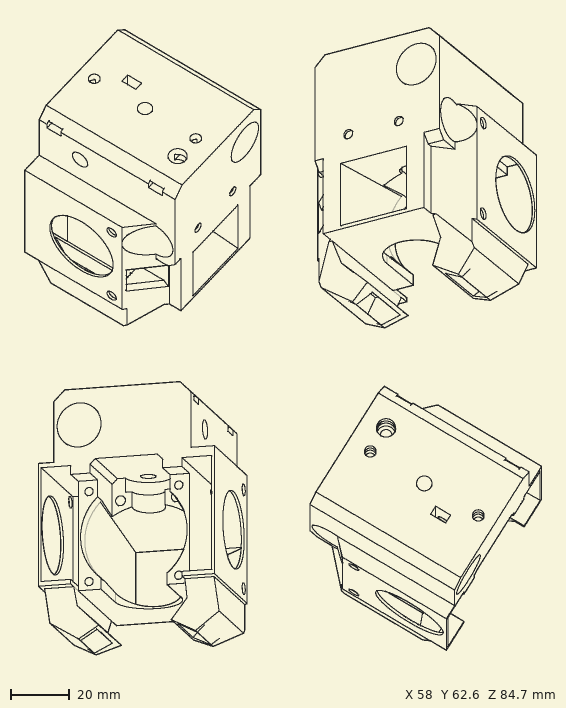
import cadquery as cq
import math

LENGTH = 58.0
HEIGHT = 84.7
BLOCK_FRONT_Y = -23.05
BLOCK_BACK_Y = 25.8
BLOCK_BOTTOM_Z = 41.8
BLOCK_TOP_CHAMFER = 4.0
BLOCK_BOTTOM_CHAMFER = 3.05

ROD_BORE_DIAMETER = 15.6
LONG_ROD_Y = 16.8
LONG_ROD_Z = 71.9
CROSS_ROD_X = 49.3
CROSS_ROD_Z = 52.1

HOUSING_HALF_WIDTH = 19.7
HOUSING_START_X = 9.6
HOUSING_BOTTOM_Z = 15.9
FAN_CENTRE_Z = 34.8
FAN_BORE_DIAMETER = 37.9
FAN_BORE_DEPTH = 5.3
FAN_SCREW_SPACING = 31.85
FAN_SCREW_DIAMETER = 2.9
FAN_SCREW_DEPTH = 10.0
TUNNEL_EXIT_BOTTOM_Z = 17.3
TUNNEL_EXIT_TOP_Z = 41.3

HOTEND_X = 27.95
SEAT_HALF_WIDTH = 12.9
SEAT_TOP_Z = 59.65
SEAT_CHAMFER = 1.9
COLLAR_DIAMETER = 16.3
COLLAR_BOTTOM_Z = 54.65
GROOVE_DIAMETER = 11.7
FILAMENT_HOLE_DIAMETER = 5.25
CLAMP_HOLE_DIAMETER = 3.5
CLAMP_HOLE_Y = 9.9
CLAMP_HOLE_Z = 51.8
BOTTOM_SLOT_RADIUS = 11.7

DUCT_OUTER_Y = 31.3
DUCT_WALL = 1.0
DUCT_FRONT_TOP_Z = 61.2
DUCT_BACK_TOP_Z = 59.4
DUCT_SLOPE_REACH = 72.9
CAVITY_END_X = 40.2
CAVITY_BOTTOM_Z = 17.5
CAVITY_TOP_Z = 57.8
INLET_DIAMETER = 27.0
FRONT_INLET_X = 24.2
BACK_INLET_X = 14.8
INLET_Z = 37.6
DUCT_SCREW_X = 37.1
DUCT_SCREW_HEIGHTS = (20.1, 55.0)
DUCT_SCREW_DIAMETER = 4.0
DUCT_PILOT_DIAMETER = 1.5
DUCT_PILOT_DEPTH = 4.0
WINDOW_INNER_Y = 20.0
WINDOW_BOTTOM_Z = 27.7
WINDOW_TOP_Z = 35.6
WINDOW_FLARE = 1.95

NOZZLE_OUTER_Y = 30.1
NOZZLE_OUTER_CORNER_Z = 5.4
NOZZLE_LOWEST_Y = 20.75
NOZZLE_TIP = (12.8, 3.8)
NOZZLE_INNER_CORNER = (19.5, 10.1)
NOZZLE_START_X = 3.8
NOZZLE_START_LEAN = 0.61
NOZZLE_END_X = 35.8
NOZZLE_CHANNEL_INSET = 2.45
NOZZLE_CHANNEL_END_X = 33.4

SCREW_DIAMETER = 4.0
SCREW_DEPTH = 10.0
MOUNT_SCREW_SPACING = 43.3
HEAD_DIAMETER = 6.5
HEAD_DEPTH = 10.0
CROSS_ROD_SCREW_Y = -9.9
LONG_ROD_SCREW_X = 17.45
NUT_WIDTH = 5.9
NUT_THICKNESS = 2.9
NUT_SLOT_BOTTOM_Z = 78.7
NUT_SLOT_END_Y = 1.8
ROD_NUT_START_Y = 4.8
ROD_NUT_THICKNESS = 3.3


def box(x_range, y_range, z_range):
    """Box between two limits along each axis."""
    sizes = [high - low for low, high in (x_range, y_range, z_range)]
    return cq.Workplane("XY").box(*sizes, centered=False).translate((x_range[0], y_range[0], z_range[0]))


def rod(diameter, start, direction, length):
    """Cylinder from a start point along a direction."""
    return cq.Workplane(
        cq.Solid.makeCylinder(diameter / 2, length, cq.Vector(*start), cq.Vector(*direction))
    )


def carriage_block():
    shoulder_z = HEIGHT - BLOCK_TOP_CHAMFER
    block = (
        cq.Workplane("YZ")
        .polyline([
            (BLOCK_FRONT_Y, BLOCK_BOTTOM_Z),
            (BLOCK_BACK_Y, BLOCK_BOTTOM_Z),
            (BLOCK_BACK_Y, shoulder_z),
            (BLOCK_BACK_Y - BLOCK_TOP_CHAMFER, HEIGHT),
            (BLOCK_FRONT_Y + BLOCK_TOP_CHAMFER, HEIGHT),
            (BLOCK_FRONT_Y, shoulder_z),
        ])
        .close()
        .extrude(LENGTH)
    )
    return block.faces("<Z").edges(">X").chamfer(BLOCK_BOTTOM_CHAMFER)


def hotend_housing():
    sides = (-HOUSING_HALF_WIDTH, HOUSING_HALF_WIDTH)
    return box((HOUSING_START_X, LENGTH), sides, (HOUSING_BOTTOM_Z, COLLAR_BOTTOM_Z))


def fan_clearance():
    """Room for the hotend fan, below the block and in front of the housing."""
    sides = (-HOUSING_HALF_WIDTH, HOUSING_HALF_WIDTH)
    return box((0, HOUSING_START_X), sides, (HOUSING_BOTTOM_Z, COLLAR_BOTTOM_Z))


def cooling_tunnel():
    """Round fan bore that narrows to a rectangle at the far end, with the fan screw holes."""
    funnel_start_x = HOUSING_START_X + FAN_BORE_DEPTH
    radius = FAN_BORE_DIAMETER / 2
    corner = radius / math.sqrt(2)
    exit_bottom = TUNNEL_EXIT_BOTTOM_Z - FAN_CENTRE_Z
    exit_top = TUNNEL_EXIT_TOP_Z - FAN_CENTRE_Z
    tunnel = (
        cq.Workplane("YZ", origin=(funnel_start_x, 0, FAN_CENTRE_Z))
        .moveTo(-corner, -corner)
        .threePointArc((0, -radius), (corner, -corner))
        .threePointArc((radius, 0), (corner, corner))
        .threePointArc((0, radius), (-corner, corner))
        .threePointArc((-radius, 0), (-corner, -corner))
        .close()
        .workplane(offset=LENGTH - funnel_start_x)
        .moveTo(-SEAT_HALF_WIDTH, exit_bottom)
        .lineTo(SEAT_HALF_WIDTH, exit_bottom)
        .lineTo(SEAT_HALF_WIDTH, exit_top)
        .lineTo(-SEAT_HALF_WIDTH, exit_top)
        .close()
        .loft(ruled=True)
    )
    bore_start = (HOUSING_START_X, 0, FAN_CENTRE_Z)
    tunnel = tunnel.union(rod(FAN_BORE_DIAMETER, bore_start, (1, 0, 0), FAN_BORE_DEPTH))
    screws = (
        cq.Workplane("YZ", origin=bore_start)
        .rect(FAN_SCREW_SPACING, FAN_SCREW_SPACING, forConstruction=True)
        .vertices()
        .circle(FAN_SCREW_DIAMETER / 2)
        .extrude(FAN_SCREW_DEPTH)
    )
    return tunnel.union(screws)


def hotend_seat():
    """Half-open groove mount for the hotend, with the filament hole and clamp screw holes.

    Its cuts start at the middle of the cooling tunnel, so that they open into it.
    """
    seat = box((0, HOTEND_X), (-SEAT_HALF_WIDTH, SEAT_HALF_WIDTH), (FAN_CENTRE_Z, SEAT_TOP_Z))
    seat = seat.faces(">Z").edges("|X").chamfer(SEAT_CHAMFER)
    collar_height = SEAT_TOP_Z - COLLAR_BOTTOM_Z
    seat = seat.union(rod(COLLAR_DIAMETER, (HOTEND_X, 0, COLLAR_BOTTOM_Z), (0, 0, 1), collar_height))
    groove_height = COLLAR_BOTTOM_Z - FAN_CENTRE_Z
    seat = seat.union(rod(GROOVE_DIAMETER, (HOTEND_X, 0, FAN_CENTRE_Z), (0, 0, 1), groove_height))
    seat = seat.union(rod(FILAMENT_HOLE_DIAMETER, (HOTEND_X, 0, FAN_CENTRE_Z), (0, 0, 1), HEIGHT))
    for y in (-CLAMP_HOLE_Y, CLAMP_HOLE_Y):
        seat = seat.union(rod(CLAMP_HOLE_DIAMETER, (HOTEND_X, y, CLAMP_HOLE_Z), (1, 0, 0), LENGTH))
    return seat


def bottom_slot():
    """Round-ended opening below the hotend."""
    slot = box((0, HOTEND_X), (-BOTTOM_SLOT_RADIUS, BOTTOM_SLOT_RADIUS), (0, FAN_CENTRE_Z))
    return slot.union(rod(2 * BOTTOM_SLOT_RADIUS, (HOTEND_X, 0, 0), (0, 0, 1), FAN_CENTRE_Z))


def nozzle_section(top_z, overshoot):
    """Nozzle section on the +Y side; overshoot lengthens it past its outlet face."""
    tip_y, tip_z = NOZZLE_TIP
    outlet_width = math.hypot(NOZZLE_LOWEST_Y - tip_y, tip_z)
    shift_y = -overshoot * tip_z / outlet_width
    shift_z = -overshoot * (NOZZLE_LOWEST_Y - tip_y) / outlet_width
    return (
        cq.Workplane("YZ")
        .polyline([
            (HOUSING_HALF_WIDTH, top_z),
            (NOZZLE_OUTER_Y, top_z),
            (NOZZLE_OUTER_Y, NOZZLE_OUTER_CORNER_Z),
            (NOZZLE_LOWEST_Y + shift_y, shift_z),
            (tip_y + shift_y, tip_z + shift_z),
            NOZZLE_INNER_CORNER,
        ])
        .close()
    )


def nozzle_limits(start_inset):
    """Prism between the leaning start face and the 45 degree end face of a nozzle."""
    corners = []
    for z in (-HOUSING_BOTTOM_Z, 2 * HOUSING_BOTTOM_Z):
        lean = NOZZLE_START_LEAN * (HOUSING_BOTTOM_Z - z)
        corners.append((NOZZLE_START_X + start_inset + lean, z))
        corners.append((NOZZLE_END_X + z, z))
    low_start, low_end, high_start, high_end = corners
    outline = [low_start, low_end, high_end, high_start]
    return cq.Workplane("XZ").polyline(outline).close().extrude(-DUCT_OUTER_Y)


def duct_body(top_z):
    """Outer shape of the +Y duct and nozzle, cut off by one 45 degree slope."""
    walls = box((0, LENGTH), (HOUSING_HALF_WIDTH, DUCT_OUTER_Y), (HOUSING_BOTTOM_Z, top_z))
    nozzle = nozzle_section(HOUSING_BOTTOM_Z, 0).extrude(LENGTH).intersect(nozzle_limits(0))
    slope = (
        cq.Workplane("XY")
        .polyline([(0, 0), (DUCT_SLOPE_REACH, 0), (0, DUCT_SLOPE_REACH)])
        .close()
        .extrude(HEIGHT)
    )
    return walls.union(nozzle).intersect(slope)


def duct_hollow(inlet_x):
    """Air space of the +Y duct, with its inlet, screw holes and nozzle channel."""
    outer_wall_y = DUCT_OUTER_Y - DUCT_WALL
    hollow = box((0, CAVITY_END_X), (HOUSING_HALF_WIDTH, outer_wall_y), (CAVITY_BOTTOM_Z, CAVITY_TOP_Z))
    hollow = hollow.union(rod(INLET_DIAMETER, (inlet_x, outer_wall_y, INLET_Z), (0, 1, 0), DUCT_WALL))
    for z in DUCT_SCREW_HEIGHTS:
        screw_start = (DUCT_SCREW_X, outer_wall_y, z)
        hollow = hollow.union(rod(DUCT_SCREW_DIAMETER, screw_start, (0, 1, 0), DUCT_WALL))
        pilot_start = (DUCT_SCREW_X, HOUSING_HALF_WIDTH, z)
        hollow = hollow.union(rod(DUCT_PILOT_DIAMETER, pilot_start, (0, -1, 0), DUCT_PILOT_DEPTH))
    channel = (
        nozzle_section(CAVITY_BOTTOM_Z + DUCT_WALL, 2 * DUCT_WALL)
        .offset2D(-DUCT_WALL, "intersection")
        .extrude(NOZZLE_CHANNEL_END_X)
        .intersect(nozzle_limits(NOZZLE_CHANNEL_INSET))
    )
    return hollow.union(channel)


def duct_window():
    """Air outlet through the slope of the -Y duct, flared over its last stretch."""
    outer_wall_y = DUCT_OUTER_Y - DUCT_WALL
    heights = (WINDOW_BOTTOM_Z, WINDOW_TOP_Z)
    window = box((CAVITY_END_X, LENGTH), (-outer_wall_y, -WINDOW_INNER_Y), heights)
    outlines = []
    for inset, flare in ((WINDOW_FLARE, 0), (0, WINDOW_FLARE)):
        reach = DUCT_SLOPE_REACH - inset
        outlines.append(cq.Wire.makePolygon(
            [
                cq.Vector(reach - y, -y, z)
                for y, z in (
                    (WINDOW_INNER_Y, WINDOW_BOTTOM_Z - flare),
                    (WINDOW_INNER_Y, WINDOW_TOP_Z + flare),
                    (outer_wall_y, WINDOW_TOP_Z + flare),
                    (outer_wall_y, WINDOW_BOTTOM_Z - flare),
                )
            ],
            close=True,
        ))
    return window.union(cq.Workplane(cq.Solid.makeLoft(outlines, True)))


def rod_bores():
    long_bore = rod(ROD_BORE_DIAMETER, (0, LONG_ROD_Y, LONG_ROD_Z), (1, 0, 0), LENGTH)
    cross_start = (CROSS_ROD_X, -DUCT_OUTER_Y, CROSS_ROD_Z)
    return long_bore.union(rod(ROD_BORE_DIAMETER, cross_start, (0, 1, 0), 2 * DUCT_OUTER_Y))


def mount_screws():
    """Two blind holes in the top, each crossed by a nut slot open to the front."""
    cuts = cq.Workplane("XY")
    for side in (-1, 1):
        x = HOTEND_X + side * MOUNT_SCREW_SPACING / 2
        cuts = cuts.union(rod(SCREW_DIAMETER, (x, 0, HEIGHT), (0, 0, -1), SCREW_DEPTH))
        slot_heights = (NUT_SLOT_BOTTOM_Z, NUT_SLOT_BOTTOM_Z + NUT_THICKNESS)
        nut_sides = (x - NUT_WIDTH / 2, x + NUT_WIDTH / 2)
        cuts = cuts.union(box(nut_sides, (BLOCK_FRONT_Y, NUT_SLOT_END_Y), slot_heights))
    return cuts


def rod_screws():
    """Counterbored screw holes that reach the two rods, with the nut slot of the long rod."""
    top_start = (CROSS_ROD_X, CROSS_ROD_SCREW_Y, HEIGHT)
    cuts = rod(HEAD_DIAMETER, top_start, (0, 0, -1), HEAD_DEPTH)
    cuts = cuts.union(rod(SCREW_DIAMETER, top_start, (0, 0, -1), HEIGHT - CROSS_ROD_Z))
    front_start = (LONG_ROD_SCREW_X, BLOCK_FRONT_Y, LONG_ROD_Z)
    cuts = cuts.union(rod(HEAD_DIAMETER, front_start, (0, 1, 0), HEAD_DEPTH))
    cuts = cuts.union(rod(SCREW_DIAMETER, front_start, (0, 1, 0), LONG_ROD_Y - BLOCK_FRONT_Y))
    nut_slot = box(
        (LONG_ROD_SCREW_X - NUT_WIDTH / 2, LONG_ROD_SCREW_X + NUT_WIDTH / 2),
        (ROD_NUT_START_Y, ROD_NUT_START_Y + ROD_NUT_THICKNESS),
        (LONG_ROD_Z - NUT_WIDTH / 2, HEIGHT),
    )
    return cuts.union(nut_slot)


result = (
    carriage_block()
    .union(hotend_housing())
    .union(duct_body(DUCT_BACK_TOP_Z))
    .union(duct_body(DUCT_FRONT_TOP_Z).mirror("XZ"))
    .cut(fan_clearance())
    .cut(cooling_tunnel())
    .cut(hotend_seat())
    .cut(bottom_slot())
    .cut(duct_hollow(BACK_INLET_X))
    .cut(duct_hollow(FRONT_INLET_X).mirror("XZ"))
    .cut(duct_window())
    .cut(rod_bores())
    .cut(mount_screws())
    .cut(rod_screws())
)